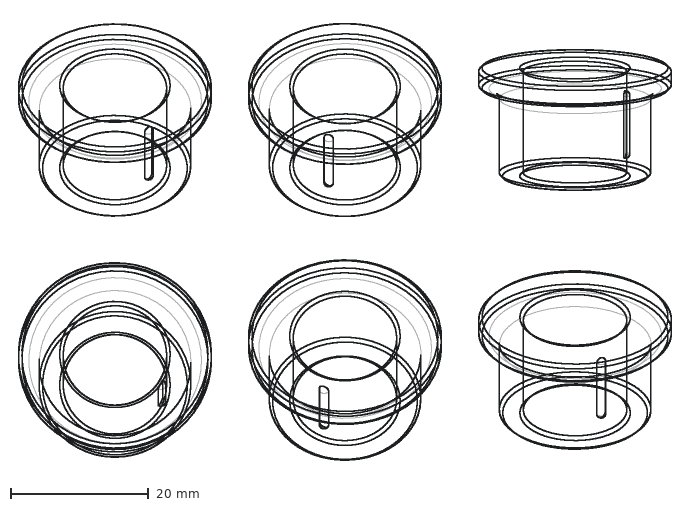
import cadquery as cq

flange_diameter = 28.0
body_diameter = 22.0
bore_diameter = 15.0
total_height = 16.0
flange_thickness = 3.0
edge_chamfer = 0.5
neck_fillet = 1.5

groove_radius = 0.7
groove_end_margin = 3.0

flange_radius = flange_diameter / 2
body_radius = body_diameter / 2
bore_radius = bore_diameter / 2
flange_bottom = total_height - flange_thickness


def make_bushing():
    """Revolve the half section, with chamfered rims and a concave neck fillet."""
    section = (
        cq.Workplane("XZ")
        .moveTo(bore_radius + edge_chamfer, 0)
        .lineTo(body_radius - edge_chamfer, 0)
        .lineTo(body_radius, edge_chamfer)
        .lineTo(body_radius, flange_bottom - neck_fillet)
        .radiusArc((body_radius + neck_fillet, flange_bottom), neck_fillet)
        .lineTo(flange_radius - edge_chamfer, flange_bottom)
        .lineTo(flange_radius, flange_bottom + edge_chamfer)
        .lineTo(flange_radius, total_height - edge_chamfer)
        .lineTo(flange_radius - edge_chamfer, total_height)
        .lineTo(bore_radius + edge_chamfer, total_height)
        .lineTo(bore_radius, total_height - edge_chamfer)
        .lineTo(bore_radius, edge_chamfer)
        .close()
    )
    return section.revolve(360, (0, 0, 0), (0, 1, 0))


def make_groove_cutter():
    """Upright round-ended rod centred on the +X wall of the bore."""
    rod_length = total_height - 2 * groove_end_margin
    half_section = (
        cq.Workplane("XZ")
        .lineTo(0, rod_length)
        .radiusArc((groove_radius, rod_length - groove_radius), groove_radius)
        .lineTo(groove_radius, groove_radius)
        .radiusArc((0, 0), groove_radius)
        .close()
    )
    rod = half_section.revolve(360, (0, 0, 0), (0, 1, 0))
    return rod.translate((bore_radius, 0, groove_end_margin))


result = make_bushing().cut(make_groove_cutter())